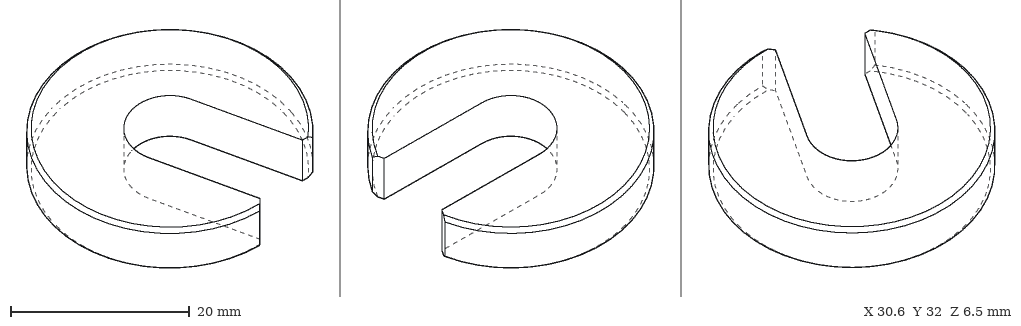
import cadquery as cq
import math

disc_diameter = 32.0
thickness = 6.5
rim_chamfer = 0.5
slot_width = 10.3

mouth_width = 13.0
bevel_start_x = 14.0

disc_radius = disc_diameter / 2
slot_radius = slot_width / 2
mouth_half_width = mouth_width / 2
mouth_tip_x = math.sqrt(disc_radius**2 - mouth_half_width**2)

cut_overrun = 1.0
bevel_slope = (mouth_half_width - slot_radius) / (mouth_tip_x - bevel_start_x)
cut_end_x = disc_radius + cut_overrun
cut_end_half_width = slot_radius + bevel_slope * (cut_end_x - bevel_start_x)


def make_disc():
    """Disc standing on Z = 0, with both rims chamfered."""
    return cq.Workplane("XY").circle(disc_radius).extrude(thickness).edges().chamfer(rim_chamfer)


def make_slot():
    """Through slot with a round end about the disc axis and a flared mouth."""
    return (
        cq.Workplane("XY")
        .moveTo(0, -slot_radius)
        .lineTo(bevel_start_x, -slot_radius)
        .lineTo(cut_end_x, -cut_end_half_width)
        .lineTo(cut_end_x, cut_end_half_width)
        .lineTo(bevel_start_x, slot_radius)
        .lineTo(0, slot_radius)
        .threePointArc((-slot_radius, 0), (0, -slot_radius))
        .close()
        .extrude(thickness)
    )


result = make_disc().cut(make_slot())